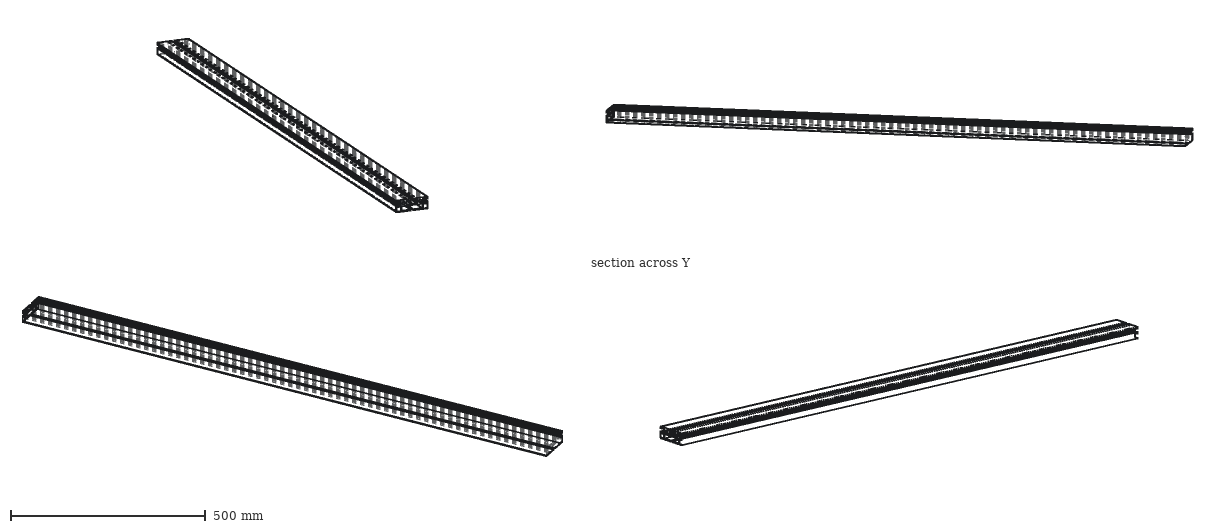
import cadquery as cq

length = 1524.0
width = 90.0
height = 32.0
corner_radius = 2.5
wall = 2.0

slot_opening = 8.2
slot_depth = 14.0
hook_depth = 5.0
groove_roof = 2.3
notch_depth = 2.0
floor_chamfer = 2.0
top_hook_span = 21.0
top_cavity_width = 30.0
side_hook_span = 10.0
side_cavity_width = 14.0
side_slot_below_top = 9.5
side_slot_height = height - side_slot_below_top

bore_diameter = 7.3
bore_spacing = 45.0

channel_width = 56.0
channel_top = 14.5
channel_floor = 3.0
channel_opening = 8.0

chamber_width = 11.5
chamber_fillet = 2.0
chamber_top = side_slot_height - side_cavity_width / 2 - wall
chamber_height = chamber_top - wall


def bar(y_center, z_bottom, bar_width, bar_height):
    """Rectangular bar along the full length."""
    return (
        cq.Workplane("YZ")
        .center(y_center, z_bottom + bar_height / 2)
        .rect(bar_width, bar_height)
        .extrude(length)
    )


def slot_outline(hook_span, cavity_width):
    """T-slot outline as (across, depth) points, measured from the slot centre and the outer face."""
    half = [
        (slot_opening / 2, 0),
        (slot_opening / 2, hook_depth),
        (hook_span / 2, hook_depth),
        (hook_span / 2, groove_roof),
        (cavity_width / 2, groove_roof),
        (cavity_width / 2, slot_depth - floor_chamfer),
        (cavity_width / 2 - floor_chamfer, slot_depth),
        (notch_depth, slot_depth),
    ]
    mirrored = [(-across, depth) for across, depth in reversed(half)]
    return half + [(0, slot_depth + notch_depth)] + mirrored


def slot_cutter(points):
    """Prism along the full length from (Y, Z) points."""
    return cq.Workplane("YZ").polyline(points).close().extrude(length)


def top_slot():
    outline = slot_outline(top_hook_span, top_cavity_width)
    return slot_cutter([(across, height - depth) for across, depth in outline])


def side_slot(side):
    outline = slot_outline(side_hook_span, side_cavity_width)
    return slot_cutter([(side * (width / 2 - depth), side_slot_height + across) for across, depth in outline])


def corner_chamber(side):
    y_center = side * (width / 2 - wall - chamber_width / 2)
    return bar(y_center, wall, chamber_width, chamber_height).edges("|X").fillet(chamber_fillet)


def screw_bore(side):
    return (
        cq.Workplane("YZ")
        .center(side * bore_spacing / 2, side_slot_height)
        .circle(bore_diameter / 2)
        .extrude(length)
    )


def bottom_channel():
    cavity = bar(0, channel_floor, channel_width, channel_top - channel_floor)
    return cavity.union(bar(0, 0, channel_opening, channel_floor))


body = bar(0, 0, width, height).edges("|X").fillet(corner_radius)
body = body.cut(top_slot()).cut(bottom_channel())
for side in (-1, 1):
    body = body.cut(side_slot(side)).cut(corner_chamber(side)).cut(screw_bore(side))

result = body